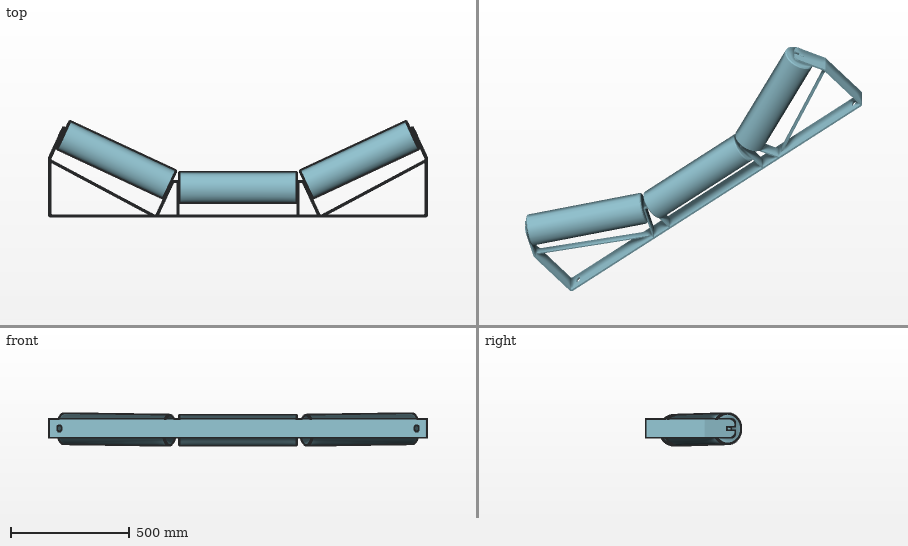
import cadquery as cq
import math

TROUGH_ANGLE = 25.0
TILT_RISE = 6.0

ROLLER_LENGTH = 500.0
ROLLER_DIAMETER = 133.0
ROLLER_EDGE_CHAMFER = 4.0
SHAFT_DIAMETER = 20.0
SHAFT_FLAT_WIDTH = 15.0
OUTER_GAP = 6.0
INNER_GAP = 2.0
CENTRE_ROLLER_Y = 125.0
CENTRE_ROLLER_Z = -8.0
SIDE_ROLLER_X = 514.0
SIDE_ROLLER_Y = 242.0
SIDE_ROLLER_Z = CENTRE_ROLLER_Z + TILT_RISE / 2

FRAME_LENGTH = 1600.0
FRAME_HEIGHT = 80.0
FRAME_THICKNESS = 8.0
UPRIGHT_HEIGHT = 250.0
ARM_LENGTH = 144.0
ARM_END_RADIUS = 20.0
BEND_RADIUS = 11.0
MOUNT_HOLE_WIDTH = 20.0
MOUNT_HOLE_HEIGHT = 25.0
MOUNT_HOLE_INSET = 45.0

BRACKET_THICKNESS = 6.0
BRACKET_HEIGHT = 56.0
BRACKET_TOP_Y = 154.0

BRACE_THICKNESS = 5.6
BRACE_HEIGHT = 30.0
BRACE_TOP_Y = 240.0
BRACE_FOOT_X = 357.0

trough = math.radians(TROUGH_ANGLE)
arm_direction = (math.sin(trough), math.cos(trough))
axis_direction = (math.cos(trough), -math.sin(trough))
tilt_angle = math.degrees(math.asin(TILT_RISE / ROLLER_LENGTH))
half_length = FRAME_LENGTH / 2


def bent_strip(path, thickness, height):
    """Strip standing on the frame's lower edge, its thickness on the right of a path, mitred at bends."""
    headings = [math.atan2(b[1] - a[1], b[0] - a[0]) for a, b in zip(path, path[1:])]
    headings = [headings[0]] + headings + [headings[-1]]
    inner = []
    for (x, y), before, after in zip(path, headings, headings[1:]):
        half_bend = (after - before) / 2
        normal = before + half_bend - math.pi / 2
        reach = thickness / math.cos(half_bend)
        inner.append((x + reach * math.cos(normal), y + reach * math.sin(normal)))
    outline = path + inner[::-1]
    lower_edge = (0, 0, -FRAME_HEIGHT / 2)
    return cq.Workplane("XY", origin=lower_edge).polyline(outline).close().extrude(height)


def round_bends(strip, bends, radius):
    """Round the upright edges of a strip that stand at the given bend points."""
    for x, y in bends:
        strip = strip.edges("|Z").edges(cq.selectors.NearestToPointSelector((x, y, 0))).fillet(radius)
    return strip


def mirrored(body):
    return body.mirror("YZ")


def make_roller(left_stub, right_stub):
    """Drum along X, centred on the origin, with a flatted shaft stub at each end."""
    drum_start = -ROLLER_LENGTH / 2
    drum = cq.Workplane("YZ", origin=(drum_start, 0, 0)).circle(ROLLER_DIAMETER / 2).extrude(ROLLER_LENGTH)
    drum = drum.faces("<X or >X").chamfer(ROLLER_EDGE_CHAMFER)
    shaft_length = left_stub + ROLLER_LENGTH + right_stub
    shaft_start = drum_start - left_stub
    shaft = cq.Workplane("YZ", origin=(shaft_start, 0, 0)).circle(SHAFT_DIAMETER / 2).extrude(shaft_length)
    flats = cq.Workplane("XY").box(2 * shaft_length, SHAFT_DIAMETER, SHAFT_FLAT_WIDTH)
    return drum.union(shaft.intersect(flats))


def make_centre_roller():
    stub = INNER_GAP + BRACKET_THICKNESS
    return make_roller(stub, stub).translate((0, CENTRE_ROLLER_Y, CENTRE_ROLLER_Z))


def make_side_roller():
    """Roller on the -X side, turned to the trough angle with its outer end raised."""
    roller = make_roller(OUTER_GAP + FRAME_THICKNESS, INNER_GAP + BRACKET_THICKNESS)
    roller = roller.rotate((0, 0, 0), (0, 1, 0), tilt_angle)
    roller = roller.rotate((0, 0, 0), (0, 0, 1), -TROUGH_ANGLE)
    return roller.translate((-SIDE_ROLLER_X, SIDE_ROLLER_Y, SIDE_ROLLER_Z))


def make_arm_cutter():
    """Cutter for the -X arm: the open slot above the shaft and the two end corners to round off."""
    arm_tip = (
        -half_length + ARM_LENGTH * arm_direction[0],
        UPRIGHT_HEIGHT + ARM_LENGTH * arm_direction[1],
        0,
    )
    arm_plane = cq.Plane(origin=arm_tip, xDir=(*arm_direction, 0), normal=(*axis_direction, 0))
    cut_depth = 2 * FRAME_THICKNESS

    shaft_x = -SIDE_ROLLER_X - ROLLER_LENGTH / 2 * axis_direction[0]
    shaft_y = SIDE_ROLLER_Y - ROLLER_LENGTH / 2 * axis_direction[1]
    slot_length = (arm_tip[0] - shaft_x) * arm_direction[0] + (arm_tip[1] - shaft_y) * arm_direction[1]
    slot = cq.Workplane(arm_plane).center(-slot_length / 2, 0).rect(slot_length, SHAFT_FLAT_WIDTH)
    cutter = slot.extrude(cut_depth, both=True)

    half_height = FRAME_HEIGHT / 2
    arc_offset = ARM_END_RADIUS * (1 - math.sqrt(0.5))
    for edge in (-1, 1):
        corner = (
            cq.Workplane(arm_plane)
            .moveTo(0, edge * half_height)
            .lineTo(-ARM_END_RADIUS, edge * half_height)
            .threePointArc(
                (-arc_offset, edge * (half_height - arc_offset)),
                (0, edge * (half_height - ARM_END_RADIUS)),
            )
            .close()
            .extrude(cut_depth, both=True)
        )
        cutter = cutter.add(corner)
    return cutter.combine()


def make_frame(side_rollers):
    arm_x = half_length - ARM_LENGTH * arm_direction[0]
    arm_y = UPRIGHT_HEIGHT + ARM_LENGTH * arm_direction[1]
    right_half = [(half_length, 0), (half_length, UPRIGHT_HEIGHT), (arm_x, arm_y)]
    left_half = [(-x, y) for x, y in right_half]
    frame = bent_strip(right_half[::-1] + left_half, FRAME_THICKNESS, FRAME_HEIGHT)

    inner_x = half_length - FRAME_THICKNESS
    inner_bend_y = UPRIGHT_HEIGHT - FRAME_THICKNESS * math.tan(trough / 2)
    for side in (-1, 1):
        outer_bends = [(side * half_length, 0), (side * half_length, UPRIGHT_HEIGHT)]
        inner_bends = [(side * inner_x, FRAME_THICKNESS), (side * inner_x, inner_bend_y)]
        frame = round_bends(frame, outer_bends, BEND_RADIUS)
        frame = round_bends(frame, inner_bends, BEND_RADIUS - FRAME_THICKNESS)

    hole_x = half_length - MOUNT_HOLE_INSET
    holes = (
        cq.Workplane("XZ")
        .pushPoints([(-hole_x, 0), (hole_x, 0)])
        .slot2D(MOUNT_HOLE_HEIGHT, MOUNT_HOLE_WIDTH, 90)
        .extrude(-FRAME_THICKNESS)
    )
    frame = frame.cut(holes)

    arm_cutter = make_arm_cutter()
    frame = frame.cut(arm_cutter).cut(mirrored(arm_cutter))
    for roller in side_rollers:
        frame = frame.cut(roller)
    return frame


def make_bracket(rollers):
    """Bracket on the -X side: a leg square to each roller, joined by a short top."""
    leg_x = -ROLLER_LENGTH / 2 - INNER_GAP
    reach = ROLLER_LENGTH / 2 + INNER_GAP
    face_x = -SIDE_ROLLER_X + reach * axis_direction[0]
    face_y = SIDE_ROLLER_Y + reach * axis_direction[1]

    def slanted_leg_x(y):
        return face_x + (y - face_y) * math.tan(trough)

    path = [
        (slanted_leg_x(0), 0),
        (slanted_leg_x(BRACKET_TOP_Y), BRACKET_TOP_Y),
        (leg_x, BRACKET_TOP_Y),
        (leg_x, 0),
    ]
    bracket = bent_strip(path, BRACKET_THICKNESS, BRACKET_HEIGHT)
    trim = cq.Workplane("XY").box(FRAME_LENGTH, 2 * FRAME_THICKNESS, FRAME_HEIGHT)
    bracket = bracket.cut(trim)
    for roller in rollers:
        bracket = bracket.cut(roller)
    return bracket


def make_brace():
    """Flat diagonal bar on the -X side, from the upright down to the base strip."""
    wall_x = -half_length + FRAME_THICKNESS
    slope = math.atan2(BRACE_TOP_Y - FRAME_THICKNESS, -BRACE_FOOT_X - wall_x)
    outline = [
        (wall_x, BRACE_TOP_Y),
        (-BRACE_FOOT_X, FRAME_THICKNESS),
        (-BRACE_FOOT_X - BRACE_THICKNESS / math.sin(slope), FRAME_THICKNESS),
        (wall_x, BRACE_TOP_Y - BRACE_THICKNESS / math.cos(slope)),
    ]
    return cq.Workplane("XY").polyline(outline).close().extrude(BRACE_HEIGHT / 2, both=True)


centre_roller = make_centre_roller()
left_roller = make_side_roller()
side_rollers = [left_roller, mirrored(left_roller)]
frame = make_frame(side_rollers)

left_bracket = make_bracket([left_roller, centre_roller])
left_brace = make_brace()
brackets = [left_bracket, mirrored(left_bracket)]
braces = [left_brace, mirrored(left_brace)]

bodies = [frame, centre_roller, *side_rollers, *brackets, *braces]
result = cq.Compound.makeCompound([body.solids().val() for body in bodies])